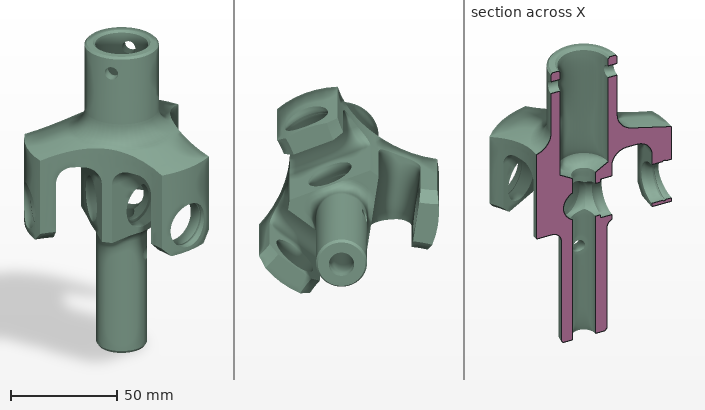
import cadquery as cq
import math

TOTAL_HEIGHT = 156.7
LEG_COUNT = 3
FIRST_LEG_ANGLE = 90
CUT_MARGIN = 15.7
TOLERANCE = 0.02

SHAFT_DIAMETER = 24.1
SHAFT_RADIUS = SHAFT_DIAMETER / 2
SHAFT_CHAMFER_WIDTH = 1.0
SHAFT_CHAMFER_HEIGHT = 1.4
SHAFT_FILLET_RADIUS = 5.0
SHAFT_PIN_HEIGHT = 48.4

HUB_DIAMETER = 35.1
HUB_RADIUS = HUB_DIAMETER / 2
HUB_CHAMFER = 1.0
HUB_FILLET_RADIUS = 10.0
HUB_PIN_DROP = 8.5
PIN_HOLE_DIAMETER = 6.5

SOCKET_RADIUS = 12.5
SOCKET_CHAMFER = 1.0
SOCKET_DEPTH = 60.0
SOCKET_CONE_ANGLE = 31
PASSAGE_RADIUS = 6.0

BODY_DIAMETER = 92.0
BODY_RADIUS = BODY_DIAMETER / 2
BODY_BOTTOM = 63.6
BODY_RIM_HEIGHT = 106.7
ROOF_ANGLE = 15
SCALLOP_RADIUS = 50.0
WAIST_RADIUS = 25
LEG_CHAMFER = 5.0

SLOT_INNER = 14.7
SLOT_OUTER = 35.5
SLOT_TOP = 101.9
SLOT_CORNER_RADIUS = 8.0

BEARING_HEIGHT = 76.8
BEARING_RADIUS = 11
CORE_SEAT_DEPTH = 6.0
CORE_HOLE_RADIUS = 9.2
GROOVE_RADIUS = 11.5
GROOVE_START = 41.5
GROOVE_WIDTH = 1.1

LEG_SPACING = 360 / LEG_COUNT
LEG_ANGLES = [FIRST_LEG_ANGLE + i * LEG_SPACING for i in range(LEG_COUNT)]
SCALLOP_DISTANCE = WAIST_RADIUS + SCALLOP_RADIUS


def at_leg(shape, angle):
    """Turn a shape made along +X to the direction of one leg."""
    return shape.rotate((0, 0, 0), (0, 0, 1), angle)


def radial_cylinder(radius, start, end):
    """Cylinder along +X at bearing height, between two distances from the part axis."""
    return cq.Workplane("YZ", origin=(start, 0, BEARING_HEIGHT)).circle(radius).extrude(end - start)


def make_turned_blank():
    """Shaft, body disc with conical roof, and hub as one revolved solid."""
    roof = math.radians(ROOF_ANGLE)
    fillet_outer = HUB_RADIUS + HUB_FILLET_RADIUS * (1 - math.sin(roof))
    roof_top = BODY_RIM_HEIGHT + (BODY_RADIUS - fillet_outer) * math.tan(roof)
    fillet_center_x = HUB_RADIUS + HUB_FILLET_RADIUS
    fillet_center_z = roof_top + HUB_FILLET_RADIUS * math.cos(roof)
    mid_angle = (math.pi / 2 - roof) / 2
    fillet_mid = (
        fillet_center_x - HUB_FILLET_RADIUS * math.cos(mid_angle),
        fillet_center_z - HUB_FILLET_RADIUS * math.sin(mid_angle),
    )
    shaft_fillet_start = BODY_BOTTOM - SHAFT_FILLET_RADIUS
    shaft_fillet_mid = (
        SHAFT_RADIUS + SHAFT_FILLET_RADIUS * (1 - math.sqrt(0.5)),
        shaft_fillet_start + SHAFT_FILLET_RADIUS * math.sqrt(0.5),
    )
    profile = (
        cq.Workplane("XZ")
        .lineTo(SHAFT_RADIUS - SHAFT_CHAMFER_WIDTH, 0)
        .lineTo(SHAFT_RADIUS, SHAFT_CHAMFER_HEIGHT)
        .lineTo(SHAFT_RADIUS, shaft_fillet_start)
        .threePointArc(shaft_fillet_mid, (SHAFT_RADIUS + SHAFT_FILLET_RADIUS, BODY_BOTTOM))
        .lineTo(BODY_RADIUS, BODY_BOTTOM)
        .lineTo(BODY_RADIUS, BODY_RIM_HEIGHT)
        .lineTo(fillet_outer, roof_top)
        .threePointArc(fillet_mid, (HUB_RADIUS, fillet_center_z))
        .lineTo(HUB_RADIUS, TOTAL_HEIGHT - HUB_CHAMFER)
        .lineTo(HUB_RADIUS - HUB_CHAMFER, TOTAL_HEIGHT)
        .lineTo(0, TOTAL_HEIGHT)
        .close()
    )
    return profile.revolve(360, (0, 0, 0), (0, 1, 0))


def make_scallop(leg_angle):
    """Round cut that hollows the body between two legs."""
    cut = (
        cq.Workplane("XY", origin=(SCALLOP_DISTANCE, 0, BODY_BOTTOM))
        .circle(SCALLOP_RADIUS)
        .extrude(TOTAL_HEIGHT - BODY_BOTTOM)
    )
    return at_leg(cut, leg_angle + LEG_SPACING / 2)


def make_slot(leg_angle):
    """Slot with rounded top corners that separates a leg from the core."""
    width = SLOT_OUTER - SLOT_INNER
    bottom = BODY_BOTTOM - CUT_MARGIN
    slot = (
        cq.Workplane("XY", origin=((SLOT_INNER + SLOT_OUTER) / 2, 0, bottom))
        .rect(width, 2 * BODY_RADIUS)
        .extrude(SLOT_TOP - bottom)
        .edges("|Y and >Z")
        .fillet(SLOT_CORNER_RADIUS)
    )
    return at_leg(slot, leg_angle)


def make_bearing_cuts(leg_angle):
    """Through bore and ring groove in the leg, stepped hole in the core."""
    seat_start = SLOT_INNER - CORE_SEAT_DEPTH
    seat = radial_cylinder(BEARING_RADIUS, seat_start, BODY_RADIUS + CUT_MARGIN)
    groove = radial_cylinder(GROOVE_RADIUS, GROOVE_START, GROOVE_START + GROOVE_WIDTH)
    core_hole = radial_cylinder(CORE_HOLE_RADIUS, 0, SLOT_INNER)
    return at_leg(seat.union(groove).union(core_hole), leg_angle)


def make_bore():
    """Chamfered socket with a conical floor, and the passage down to the shaft end."""
    socket_floor = TOTAL_HEIGHT - SOCKET_DEPTH
    cone_height = (SOCKET_RADIUS - PASSAGE_RADIUS) * math.tan(math.radians(SOCKET_CONE_ANGLE))
    profile = (
        cq.Workplane("XZ")
        .lineTo(PASSAGE_RADIUS, 0)
        .lineTo(PASSAGE_RADIUS, socket_floor - cone_height)
        .lineTo(SOCKET_RADIUS, socket_floor)
        .lineTo(SOCKET_RADIUS, TOTAL_HEIGHT - SOCKET_CHAMFER)
        .lineTo(SOCKET_RADIUS + SOCKET_CHAMFER, TOTAL_HEIGHT)
        .lineTo(0, TOTAL_HEIGHT)
        .close()
    )
    return profile.revolve(360, (0, 0, 0), (0, 1, 0))


def make_pin_hole(plane, height):
    """Cross hole through the full width along the plane's normal."""
    return (
        cq.Workplane(plane, origin=(0, 0, height))
        .circle(PIN_HOLE_DIAMETER / 2)
        .extrude(BODY_RADIUS, both=True)
    )


def is_leg_foot_edge(edge):
    """True for the bottom edge where a scallop meets the foot of a leg."""
    center = edge.Center()
    at_bottom = math.isclose(center.z, BODY_BOTTOM, abs_tol=TOLERANCE)
    on_leg = math.hypot(center.x, center.y) > SLOT_OUTER
    on_scallop = math.isclose(edge.radius(), SCALLOP_RADIUS, abs_tol=TOLERANCE)
    return at_bottom and on_leg and on_scallop


result = make_turned_blank()
for leg_angle in LEG_ANGLES:
    result = result.cut(make_scallop(leg_angle))
    result = result.cut(make_slot(leg_angle))
result = result.edges("%CIRCLE").filter(is_leg_foot_edge).chamfer(LEG_CHAMFER)

for leg_angle in LEG_ANGLES:
    result = result.cut(make_bearing_cuts(leg_angle))
result = result.cut(make_bore())
result = result.cut(make_pin_hole("XZ", TOTAL_HEIGHT - HUB_PIN_DROP))
result = result.cut(make_pin_hole("YZ", SHAFT_PIN_HEIGHT))